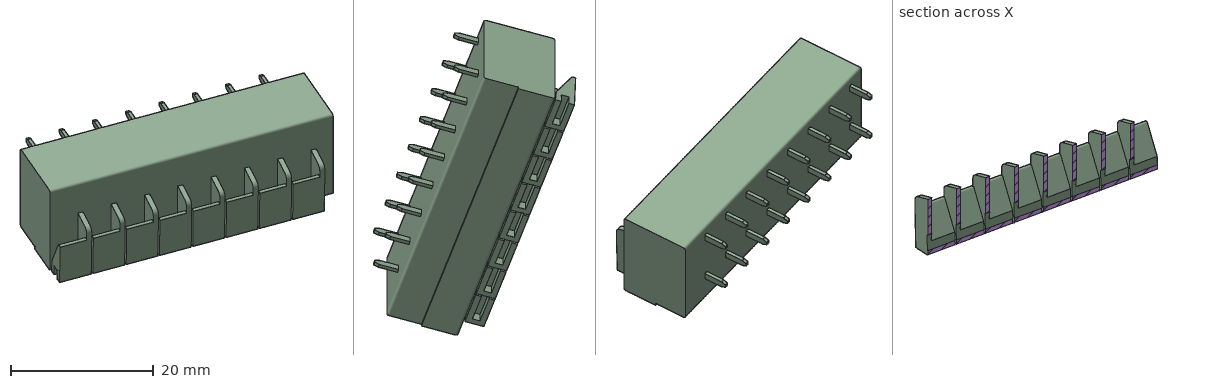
import cadquery as cq
import math

housing_left = 3.5
housing_right = 14.0
housing_length = 43.2
housing_height = 14.25
housing_radius = 0.4
step_x = 8.6
step_height = 0.4

pole_count = 8
pole_span = 35.55
pole_pitch = pole_span / (pole_count - 1)

first_pin_y = 2.65
pin_thickness = 0.5
pin_height = 1.0
pin_tip_height = 0.47
pin_tip_length = 0.65
lower_pin_z = 4.85
pin_row_count = 2
pin_row_spacing = 7.65
pin_root = 0.45

first_lever_y = 0.17
lever_width = 4.85
web_thickness = 0.78
lever_left = 14.25
lever_foot_left = 14.1
lever_right = 17.1
lever_foot_right = 16.93

web_bottom = 3.15
web_shoulder_z = 8.2
web_slope = math.radians(15)
web_shoulder_radius = 0.85
web_crown_radius = 1.5

wedge_slope = math.radians(63)
nose_radius = 0.4
nose_x = 16.8
nose_z = 6.17
nose_end_z = nose_z + math.sqrt(nose_radius**2 - (lever_right - nose_x) ** 2)
wedge_tangent_x = nose_x - nose_radius * math.sin(wedge_slope)
wedge_tangent_z = nose_z + nose_radius * math.cos(wedge_slope)
wedge_start_z = wedge_tangent_z - (wedge_tangent_x - lever_left) * math.tan(wedge_slope)

slot_left = 15.0
slot_right = 16.1
slot_height = 1.55


def extrude_along_y(outline, start_y, length):
    """Extrude a closed XZ outline from start_y towards +Y."""
    profile = cq.Workplane("XZ", origin=(0, start_y, 0)).polyline(outline).close()
    return profile.extrude(-length)


def make_housing():
    outline = [
        (housing_left, step_height),
        (step_x, step_height),
        (step_x, 0),
        (housing_right, 0),
        (housing_right, housing_height),
        (housing_left, housing_height),
    ]
    body = extrude_along_y(outline, 0, housing_length)
    return body.edges("|Y and (<X or >X)").fillet(housing_radius)


def make_pin(y, z):
    half_height = pin_height / 2
    half_tip = pin_tip_height / 2
    root_x = housing_left + pin_root
    outline = [
        (0, z - half_tip),
        (pin_tip_length, z - half_height),
        (root_x, z - half_height),
        (root_x, z + half_height),
        (pin_tip_length, z + half_height),
        (0, z + half_tip),
    ]
    return extrude_along_y(outline, y - pin_thickness / 2, pin_thickness)


def make_wedge(y):
    wedge = (
        cq.Workplane("XZ", origin=(0, y, 0))
        .moveTo(lever_foot_left, 0)
        .lineTo(lever_foot_right, 0)
        .lineTo(lever_right, nose_end_z)
        .threePointArc((nose_x, nose_z + nose_radius), (wedge_tangent_x, wedge_tangent_z))
        .lineTo(lever_left, wedge_start_z)
        .close()
        .extrude(-lever_width)
    )
    slot = [
        (slot_left, 0),
        (slot_right, 0),
        (slot_right, slot_height),
        (slot_left, slot_height),
    ]
    return wedge.cut(extrude_along_y(slot, y, lever_width - web_thickness))


def make_web(y):
    crown_end_x = housing_right + web_crown_radius * math.sin(web_slope)
    crown_end_z = web_shoulder_z + (lever_right - crown_end_x) * math.tan(web_slope)
    crown_top_z = crown_end_z + web_crown_radius * (1 - math.cos(web_slope))
    web = (
        cq.Workplane("XZ", origin=(0, y + lever_width - web_thickness, 0))
        .moveTo(housing_right, web_bottom)
        .lineTo(lever_left, web_bottom)
        .lineTo(lever_left, wedge_start_z)
        .lineTo(lever_foot_left, 0)
        .lineTo(lever_foot_right, 0)
        .lineTo(lever_right, nose_end_z)
        .lineTo(lever_right, web_shoulder_z)
        .lineTo(crown_end_x, crown_end_z)
        .tangentArcPoint((housing_right, crown_top_z), relative=False)
        .close()
        .extrude(-web_thickness)
    )
    shoulder = cq.selectors.NearestToPointSelector((lever_right, y + lever_width, web_shoulder_z))
    return web.edges("|Y").edges(shoulder).fillet(web_shoulder_radius)


result = make_housing()
for pole in range(pole_count):
    offset = pole * pole_pitch
    for row in range(pin_row_count):
        pin_z = lower_pin_z + row * pin_row_spacing
        result = result.union(make_pin(first_pin_y + offset, pin_z))
    result = result.union(make_wedge(first_lever_y + offset))
    result = result.union(make_web(first_lever_y + offset))